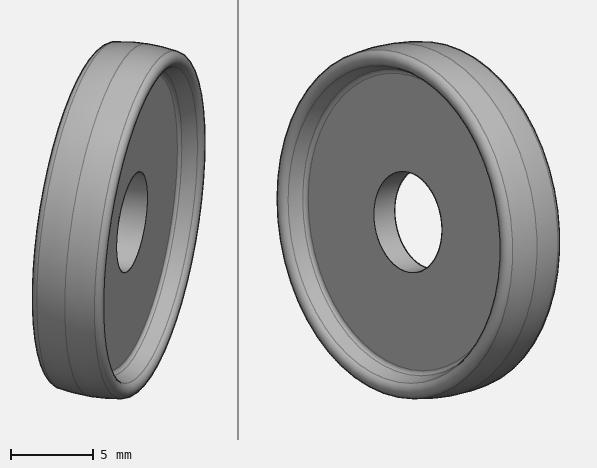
import cadquery as cq
import math

outer_diameter = 21.68
rim_width = 4.5
bore_diameter = 6.2
web_thickness = 1.7

rim_edge_radius = 0.5
wall_taper = 21.0
recess_fillet_radius = 0.3

outer_radius = outer_diameter / 2
bore_radius = bore_diameter / 2
crown_radius = outer_radius
half_rim = rim_width / 2
half_web = web_thickness / 2
taper = math.radians(wall_taper)


def point_on_circle(center, radius, angle):
    """Point at an angle measured from the +X direction towards larger radius."""
    return (center[0] + radius * math.cos(angle), center[1] + radius * math.sin(angle))


def make_half():
    """Revolve the +X half of the wheel section; points are (axial, radial)."""
    crown_center = (0, outer_radius - crown_radius)
    round_path_radius = crown_radius - rim_edge_radius
    crown_angle = math.acos((half_rim - rim_edge_radius) / round_path_radius)
    round_center = point_on_circle(crown_center, round_path_radius, crown_angle)
    tread_edge = point_on_circle(crown_center, crown_radius, crown_angle)
    tread_mid = point_on_circle(crown_center, crown_radius, (crown_angle + math.pi / 2) / 2)
    rim_tip = (half_rim, round_center[1])

    wall_normal = taper - math.pi / 2
    wall_outer = point_on_circle(round_center, rim_edge_radius, wall_normal)
    corner_radial = wall_outer[1] - (wall_outer[0] - half_web) * math.tan(taper)
    corner = (half_web, corner_radial)

    tangent_length = recess_fillet_radius * math.tan((math.pi / 2 - taper) / 2)
    web_edge = (half_web, corner_radial - tangent_length)
    wall_inner = point_on_circle(corner, tangent_length, taper)
    fillet_center = (half_web + recess_fillet_radius, web_edge[1])
    fillet_mid_angle = (math.pi + (taper + math.pi / 2)) / 2
    fillet_mid = point_on_circle(fillet_center, recess_fillet_radius, fillet_mid_angle)

    section = (
        cq.Workplane("XY")
        .moveTo(0, bore_radius)
        .lineTo(half_web, bore_radius)
        .lineTo(*web_edge)
        .threePointArc(fillet_mid, wall_inner)
        .lineTo(*wall_outer)
        .threePointArc(rim_tip, tread_edge)
        .threePointArc(tread_mid, (0, outer_radius))
        .close()
    )
    return section.revolve(360, (0, 0, 0), (1, 0, 0))


half = make_half()
result = half.union(half.mirror("YZ"))